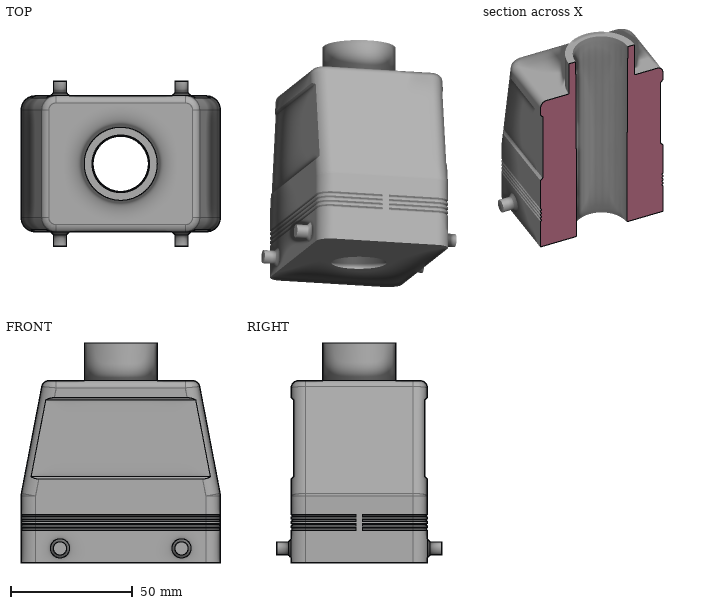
import cadquery as cq

hood_length = 82.0
hood_width = 56.0
hood_height = 74.9
shoulder_height = 28.1
end_wall_inset = 9.0
shoulder_radius = 5.25
corner_radius = 6.0
top_radius = 3.0

recess_depth = 1.0
recess_bottom = 34.5
recess_top = 68.0

overall_height = 90.5
collar_diameter = 30.05
bore_top_diameter = 23.7
bore_bottom_diameter = 22.7

groove_count = 4
groove_width = 1.1
groove_depth = groove_width / 2
groove_pitch = 1.8
lowest_groove_height = 13.9
groove_flank_angle = 45
groove_gap = 2.7

pin_diameter = 5.4
pin_base_diameter = 7.9
pin_base_length = 1.2
pin_spacing = 50.0
pin_height = 6.0
pin_tip_span = 68.0


def make_hood():
    """Solid hood with blended shoulders, rounded vertical corners and a rounded top rim."""
    half_length = hood_length / 2
    half_top = half_length - end_wall_inset
    block = (
        cq.Workplane("XZ")
        .moveTo(-half_length, 0)
        .lineTo(half_length, 0)
        .lineTo(half_length, shoulder_height)
        .lineTo(half_top, hood_height)
        .lineTo(-half_top, hood_height)
        .lineTo(-half_length, shoulder_height)
        .close()
        .extrude(hood_width / 2, both=True)
    )
    shoulder_edges = cq.selectors.BoxSelector(
        (-hood_length, -hood_width, shoulder_height - 0.9),
        (hood_length, hood_width, shoulder_height + 0.9),
    )
    block = block.edges("|Y").edges(shoulder_edges).fillet(shoulder_radius)
    block = block.faces("<Y or >Y").edges("not |X").fillet(corner_radius)
    return block.faces(">Z").edges().fillet(top_radius)


def make_recess():
    """Cutter for the -Y side: a full-length channel with 45 degree flanks."""
    outer = -hood_width / 2
    inner = outer + recess_depth
    return (
        cq.Workplane("YZ")
        .moveTo(outer, recess_bottom)
        .lineTo(inner, recess_bottom + recess_depth)
        .lineTo(inner, recess_top - recess_depth)
        .lineTo(outer, recess_top)
        .close()
        .extrude(hood_length, both=True)
    )


def hood_outline(height):
    """Rounded rectangle of the hood's lower walls, at the given height."""
    outline = cq.Sketch().rect(hood_length, hood_width).vertices().fillet(corner_radius)
    return cq.Workplane("XY", origin=(0, 0, height)).placeSketch(outline)


def make_groove(height):
    """Cutter for one V groove centred at the given height."""
    bottom = height - groove_depth
    top = height + groove_depth
    band = hood_outline(bottom).extrude(groove_width)
    lower_core = hood_outline(bottom).extrude(groove_depth, taper=groove_flank_angle)
    upper_core = hood_outline(top).extrude(-groove_depth, taper=groove_flank_angle)
    gap = cq.Workplane("XY", origin=(0, 0, height)).box(2 * hood_length, groove_gap, 2 * groove_width)
    return band.cut(lower_core).cut(upper_core).cut(gap)


def make_pin_pair(x):
    """A pin on the +Y side at the given X and its mirror image, joined through the hood."""
    wall = hood_width / 2
    tip = pin_tip_span / 2
    pin = (
        cq.Workplane("XY")
        .lineTo(pin_base_diameter / 2, 0)
        .lineTo(pin_base_diameter / 2, wall)
        .lineTo(pin_diameter / 2, wall + pin_base_length)
        .lineTo(pin_diameter / 2, tip)
        .lineTo(0, tip)
        .close()
        .revolve(360, (0, 0, 0), (0, 1, 0))
        .translate((x, 0, pin_height))
    )
    return pin.union(pin.mirror("XZ"))


def make_bore():
    """Cutter narrowing evenly from the collar's mouth to the underside."""
    return (
        cq.Workplane("XZ")
        .lineTo(bore_bottom_diameter / 2, 0)
        .lineTo(bore_top_diameter / 2, overall_height)
        .lineTo(0, overall_height)
        .close()
        .revolve(360, (0, 0, 0), (0, 1, 0))
    )


body = make_hood()

recess = make_recess()
body = body.cut(recess).cut(recess.mirror("XZ"))

for index in range(groove_count):
    body = body.cut(make_groove(lowest_groove_height + index * groove_pitch))

for pin_x in (-pin_spacing / 2, pin_spacing / 2):
    body = body.union(make_pin_pair(pin_x))

collar = cq.Workplane("XY").circle(collar_diameter / 2).extrude(overall_height)
result = body.union(collar).cut(make_bore())